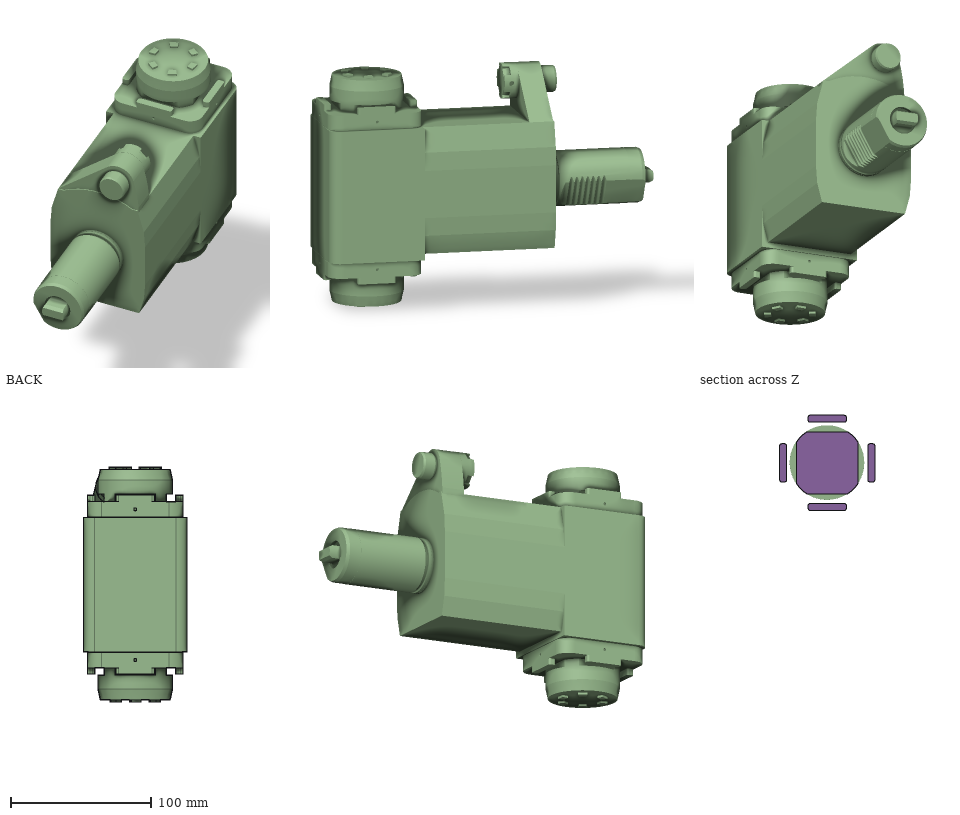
import cadquery as cq
import math


total_length = 242.0
total_height = 167.7
head_width = 74.0

head_depth = 68.2
head_half_height = 48.0
head_back_radius = 8.0
body_bottom_z = -44.0
side_flat_z = 17.2
side_break_z = 30.2
side_break_x = 36.0
body_top_x = 31.2

shank_diameter = 40.0
shank_end_diameter = 39.7
shank_length = 69.7
shank_end_length = 11.4
shank_chamfer_length = 2.5
shank_chamfer_depth = 1.0
collar_length = 3.6
collar_step = 1.5
groove_diameter = 36.0
groove_width = 3.0
clamp_flat_distance = 17.0
clamp_flat_angle = 30.0
clamp_flat_start = 11.0
tooth_count = 7
tooth_pitch = 4.0
tooth_first = 15.2
tooth_depth = 2.2
tooth_half_width = 1.7
tooth_root_half_width = 0.5
recess_diameter = 20.0
recess_depth = 3.0
tang_diameter = 17.0
tang_projection = 8.0
tang_thickness = 9.5
tang_chamfer_length = 2.7
tang_chamfer_depth = 1.5
tang_root_radius = 2.2

lug_front = 0.7
lug_back = 18.1
lug_x = 15.2
lug_z = 69.7
lug_radius = 12.8
lug_left_x = -body_top_x
lug_right_x = 31.7
lug_right_arc_z = 50.8
lug_right_end_angle = 16.0
face_pad_radius = 55.0
pin_diameter = 19.5
pin_neck_diameter = 17.0
pin_start = 0.0
pin_end = -10.5
pin_chamfer_length = 1.5
pin_chamfer_depth = 0.7
pin_flat_distance = 9.5
pin_flat_tilt = 7.0
lug_nut_diameter = 26.0
lug_nut_back = 28.5
slot_count = 4
slot_width = 7.3
slot_depth = 4.8
slot_floor_radius = 10.2
nut_hole_diameter = 3.6
nut_hole_depth = 2.5
nut_hole_y = 23.5

flange_width = 68.2
flange_corner_radius = 10.0
flange_top = 59.3
seat_width = 66.8
seat_gap = 0.5
dimple_diameter = 2.1
dimple_depth = 1.2
dimple_z = 53.7
key_length = 27.5
key_width = 5.3
key_top = 64.0
key_radius = 1.7
nut_diameter = 53.2
nut_relief_top = 64.5
nut_relief_across = 44.5
nut_taper_z = 74.5
nut_top = 82.3
nut_top_diameter = 49.8
drive_lug_count = 6
drive_lug_inner_radius = 13.5
drive_lug_outer_radius = 18.5
drive_lug_inner_width = 5.3
drive_lug_outer_width = 6.8
upper_lug_angle = -8.0
lower_lug_angle = -27.4

tang_tip = -(shank_length + tang_projection)
half_height = total_height / 2
half_width = head_width / 2
head_back = total_length + tang_tip
head_front = head_back - head_depth
spindle_y = (head_front + head_back) / 2


def cylinder_along_y(diameter, y_from, y_to):
    """Cylinder on the Y axis between two Y places."""
    base = cq.Workplane("XZ", origin=(0, y_from, 0))
    return base.circle(diameter / 2).extrude(y_from - y_to)


def make_head():
    head = cq.Workplane("XY").box(head_width, head_depth, 2 * head_half_height)
    head = head.translate((0, spindle_y, 0))
    return head.edges("|Z and >Y").fillet(head_back_radius)


def make_body():
    slope = (side_break_x - body_top_x) / (head_half_height - side_break_z)
    bottom_x = side_break_x - slope * (-body_bottom_z - side_break_z)
    right = [
        (bottom_x, body_bottom_z),
        (side_break_x, -side_break_z),
        (half_width, -side_flat_z),
        (half_width, side_flat_z),
        (side_break_x, side_break_z),
        (body_top_x, head_half_height),
    ]
    left = [(-x, z) for x, z in reversed(right)]
    return cq.Workplane("XZ").polyline(right + left).close().extrude(-head_front)


def make_shank_blank():
    radius = shank_diameter / 2
    end_radius = shank_end_diameter / 2
    groove_radius = groove_diameter / 2
    groove_end = collar_length + groove_width
    profile = [
        (0, 0),
        (radius, 0),
        (radius, -collar_step),
        (end_radius, -collar_step),
        (end_radius, -collar_length),
        (groove_radius, -collar_length),
        (groove_radius, -groove_end),
        (radius, -groove_end),
        (radius, -(shank_length - shank_end_length)),
        (end_radius, -(shank_length - shank_end_length)),
        (end_radius, -(shank_length - shank_chamfer_length)),
        (end_radius - shank_chamfer_depth, -shank_length),
        (0, -shank_length),
    ]
    return cq.Workplane("XY").polyline(profile).close().revolve(360, (0, 0, 0), (0, 1, 0))


def make_clamp_cutter():
    """Flat with a 45 degree run-out and V teeth, cut on the -X side and turned down towards -Z."""
    depth_span = shank_diameter
    flat = [
        (-clamp_flat_distance, -clamp_flat_start),
        (-clamp_flat_distance, -shank_length),
        (-clamp_flat_distance - depth_span, -shank_length),
        (-clamp_flat_distance - depth_span, -clamp_flat_start + depth_span),
    ]
    cutter = cq.Workplane("XY").polyline(flat).close().extrude(shank_diameter, both=True)
    root = -clamp_flat_distance + tooth_depth
    for i in range(tooth_count):
        y = -tooth_first - i * tooth_pitch
        valley = [
            (root, y - tooth_root_half_width),
            (-clamp_flat_distance, y - tooth_half_width),
            (-shank_diameter, y - tooth_half_width),
            (-shank_diameter, y + tooth_half_width),
            (-clamp_flat_distance, y + tooth_half_width),
            (root, y + tooth_root_half_width),
        ]
        cutter = cutter.union(
            cq.Workplane("XY").polyline(valley).close().extrude(shank_diameter, both=True)
        )
    return cutter.rotate((0, 0, 0), (0, 1, 0), -clamp_flat_angle)


def make_tang():
    half = tang_thickness / 2
    root_y = -shank_length + recess_depth
    root_half = half + tang_root_radius
    shoulder_y = tang_tip + tang_chamfer_length
    arc_offset = tang_root_radius * (1 - math.sqrt(0.5))
    arc_y = root_y - arc_offset
    arc_half = half + arc_offset
    blade = (
        cq.Workplane("YZ")
        .moveTo(root_y, root_half)
        .threePointArc((arc_y, arc_half), (root_y - tang_root_radius, half))
        .lineTo(shoulder_y, half)
        .lineTo(tang_tip, half - tang_chamfer_depth)
        .lineTo(tang_tip, -half + tang_chamfer_depth)
        .lineTo(shoulder_y, -half)
        .lineTo(root_y - tang_root_radius, -half)
        .threePointArc((arc_y, -arc_half), (root_y, -root_half))
        .close()
        .extrude(tang_diameter, both=True)
    )
    return blade.intersect(cylinder_along_y(tang_diameter, root_y, tang_tip))


def make_shank():
    recess = cylinder_along_y(recess_diameter, -shank_length, -shank_length + recess_depth)
    shank = make_shank_blank().cut(make_clamp_cutter()).cut(recess)
    return shank.union(make_tang())


def lug_rim_point(angle):
    """Point on the lug's round end, with the angle in degrees from +X towards +Z."""
    turn = math.radians(angle)
    return lug_x + lug_radius * math.cos(turn), lug_z + lug_radius * math.sin(turn)


def make_lug():
    dx = lug_x - lug_left_x
    dz = lug_z - head_half_height
    flank_turn = math.asin(lug_radius / math.hypot(dx, dz))
    flank_angle = math.degrees(math.atan2(dz, dx) + flank_turn) + 90
    crown = lug_rim_point((flank_angle + lug_right_end_angle) / 2)
    plate = (
        cq.Workplane("XZ", origin=(0, lug_front, 0))
        .moveTo(lug_left_x, head_half_height)
        .lineTo(*lug_rim_point(flank_angle))
        .threePointArc(crown, lug_rim_point(lug_right_end_angle))
        .tangentArcPoint((lug_right_x, lug_right_arc_z), relative=False)
        .lineTo(lug_right_x, 0)
        .lineTo(lug_left_x, 0)
        .close()
        .extrude(lug_front - lug_back)
    )
    pad = cylinder_along_y(2 * face_pad_radius, 0, lug_back)
    pad_limit = cq.Workplane("XY").box(
        2 * body_top_x, 2 * lug_back, face_pad_radius, centered=(True, True, False)
    )
    return plate.union(pad.intersect(pad_limit))


def make_lug_pin():
    radius = pin_diameter / 2
    neck_radius = pin_neck_diameter / 2
    profile = [
        (0, lug_back),
        (neck_radius, lug_back),
        (neck_radius, pin_start),
        (radius - pin_chamfer_depth, pin_start),
        (radius, pin_start - pin_chamfer_length),
        (radius, pin_end + pin_chamfer_length),
        (radius - pin_chamfer_depth, pin_end),
        (0, pin_end),
    ]
    pin = cq.Workplane("XY").polyline(profile).close().revolve(360, (0, 0, 0), (0, 1, 0))
    flat = cq.Workplane("XY", origin=(0, 0, pin_flat_distance)).rect(pin_diameter, 2 * lug_back)
    flat = flat.extrude(pin_diameter).rotate((0, 0, 0), (0, 1, 0), pin_flat_tilt)
    return pin.cut(flat).translate((lug_x, 0, lug_z))


def make_lug_nut():
    nut = cylinder_along_y(lug_nut_diameter, lug_back, lug_nut_back)
    for i in range(slot_count):
        slot = cq.Workplane("XY").box(
            lug_nut_diameter, slot_depth, slot_width, centered=(False, False, True)
        )
        slot = slot.translate((slot_floor_radius, lug_nut_back - slot_depth, 0))
        nut = nut.cut(slot.rotate((0, 0, 0), (0, 1, 0), (i + 0.5) * 360 / slot_count))
    hole = cq.Workplane("YZ", origin=(-lug_nut_diameter / 2, nut_hole_y, 0))
    hole = hole.circle(nut_hole_diameter / 2).extrude(nut_hole_depth)
    return nut.cut(hole).translate((lug_x, 0, lug_z))


def make_spindle_flange():
    flange_bottom = head_half_height + seat_gap
    flange = cq.Workplane("XY", origin=(0, 0, flange_bottom)).rect(flange_width, flange_width)
    flange = flange.extrude(flange_top - flange_bottom).edges("|Z").fillet(flange_corner_radius)
    seat = cq.Workplane("XY").rect(seat_width, seat_width).extrude(flange_bottom)
    flange = flange.union(seat.edges("|Z").fillet(flange_corner_radius))
    key = cq.Workplane("XY").box(
        key_width, key_length, key_top - flange_top, centered=(False, True, False)
    )
    key = key.edges("|Z").fillet(key_radius)
    key = key.translate((flange_width / 2 - key_width, 0, flange_top))
    dimple = cq.Workplane("YZ", origin=(flange_width / 2, 0, dimple_z))
    dimple = dimple.circle(dimple_diameter / 2).extrude(-dimple_depth)
    for angle in (0, 90, 180, 270):
        flange = flange.union(key.rotate((0, 0, 0), (0, 0, 1), angle))
        flange = flange.cut(dimple.rotate((0, 0, 0), (0, 0, 1), angle))
    return flange


def make_spindle_nut(lug_angle):
    profile = [
        (0, 0),
        (nut_diameter / 2, 0),
        (nut_diameter / 2, nut_taper_z),
        (nut_top_diameter / 2, nut_top),
        (0, nut_top),
    ]
    nut = cq.Workplane("XZ").polyline(profile).close().revolve(360, (0, 0, 0), (0, 1, 0))
    foot = cq.Workplane("XY").rect(nut_relief_across, nut_relief_across).extrude(nut_relief_top)
    upper = cq.Workplane("XY", origin=(0, 0, nut_relief_top)).circle(nut_diameter).extrude(nut_top)
    nut = nut.intersect(foot.union(upper))
    drive_lug = [
        (drive_lug_inner_radius, -drive_lug_inner_width / 2),
        (drive_lug_outer_radius, -drive_lug_outer_width / 2),
        (drive_lug_outer_radius, drive_lug_outer_width / 2),
        (drive_lug_inner_radius, drive_lug_inner_width / 2),
    ]
    lug = cq.Workplane("XY").polyline(drive_lug).close().extrude(half_height)
    for i in range(drive_lug_count):
        angle = lug_angle + i * 360 / drive_lug_count
        nut = nut.union(lug.rotate((0, 0, 0), (0, 0, 1), angle))
    return nut


def make_spindle_end(lug_angle):
    """One spindle end pointing up, centred on the spindle axis."""
    end = make_spindle_flange().union(make_spindle_nut(lug_angle))
    return end.translate((0, spindle_y, 0))


result = (
    make_head()
    .union(make_body())
    .union(make_lug())
    .union(make_lug_pin())
    .union(make_lug_nut())
    .union(make_spindle_end(upper_lug_angle))
    .union(make_spindle_end(lower_lug_angle).mirror("XY"))
    .union(make_shank())
)